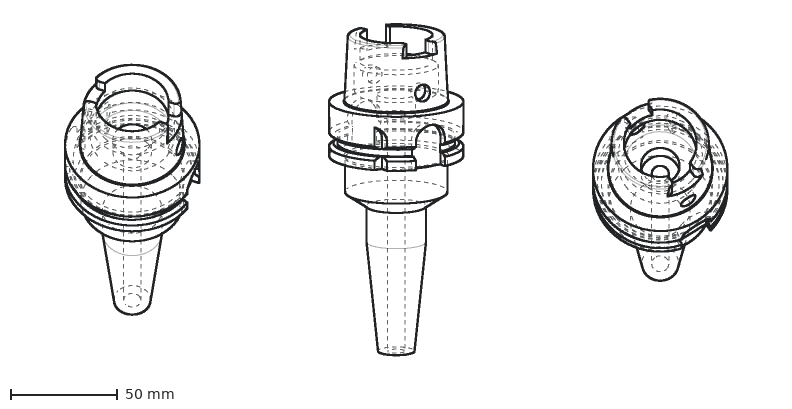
import cadquery as cq
import math


shank_length = 32.0
gauge_radius = 24.0
gauge_height = 6.3
taper_slope = 1 / 20
shank_bottom_radius = gauge_radius + gauge_height * taper_slope
shank_top_radius = shank_bottom_radius - shank_length * taper_slope
shank_rim_fillet = 1.0
shank_root_width = 0.3
shank_root_height = 0.5

flange_radius = 31.5
flange_thickness = 26.0
groove_radius = 27.6
groove_centre_depth = 18.13
groove_width = 3.6
groove_mouth_width = 6.8
groove_lip_radius = 29.4

body_radius = 24.0
body_root_width = 0.5
body_root_height = 1.0
body_end_depth = 43.5
neck_radius = 14.0
neck_start_depth = 50.3
nose_start_depth = 67.5
total_depth = 120.0
nose_end_radius = 8.6

mouth_radius = 17.0
mouth_end_height = 19.0
chamber_radius = 19.7
chamber_cone_angle = 30.0
chamber_cone_height = (chamber_radius - mouth_radius) * math.tan(math.radians(chamber_cone_angle))
chamber_floor_height = 3.5
chamber_floor_fillet = 2.5
pocket_radius = 9.0
pocket_depth = 10.0
through_hole_radius = 4.0
cross_hole_radius = 4.0
cross_hole_height = 8.8

drive_slot_width = 12.4
drive_slot_flat = 20.95
drive_slot_corner = 2.3
left_slot_depth = 6.0
right_slot_depth = 9.8

keyway_width = 16.0
keyway_floor = 26.5
keyway_top_depth = 5.0

notch_floor = 20.1
notch_top_depth = 4.9
notch_corner_radius = 7.0

clearance = 5.0


def turned_body():
    groove_top = -(groove_centre_depth - groove_width / 2)
    groove_bottom = -(groove_centre_depth + groove_width / 2)
    mouth_top = -(groove_centre_depth - groove_mouth_width / 2)
    mouth_bottom = -(groove_centre_depth + groove_mouth_width / 2)
    root_radius = shank_bottom_radius - shank_root_height * taper_slope
    outline = [
        (0, shank_length),
        (shank_top_radius, shank_length),
        (root_radius, shank_root_height),
        (shank_bottom_radius + shank_root_width, 0),
        (flange_radius, 0),
        (flange_radius, mouth_top),
        (groove_lip_radius, groove_top),
        (groove_radius, groove_top),
        (groove_radius, groove_bottom),
        (groove_lip_radius, groove_bottom),
        (flange_radius, mouth_bottom),
        (flange_radius, -flange_thickness),
        (body_radius + body_root_width, -flange_thickness),
        (body_radius, -flange_thickness - body_root_height),
        (body_radius, -body_end_depth),
        (neck_radius, -neck_start_depth),
        (neck_radius, -nose_start_depth),
        (nose_end_radius, -total_depth),
        (0, -total_depth),
    ]
    solid = cq.Workplane("XZ").polyline(outline).close().revolve(360, (0, 0), (0, 1))
    return solid.faces(">Z").edges().fillet(shank_rim_fillet)


def bores():
    pocket_floor = chamber_floor_height - pocket_depth
    arc_inset = chamber_floor_fillet * (1 - math.sin(math.radians(45)))
    profile = (
        cq.Workplane("XZ")
        .moveTo(0, shank_length)
        .lineTo(mouth_radius, shank_length)
        .lineTo(mouth_radius, mouth_end_height)
        .lineTo(chamber_radius, mouth_end_height - chamber_cone_height)
        .lineTo(chamber_radius, chamber_floor_height + chamber_floor_fillet)
        .threePointArc(
            (chamber_radius - arc_inset, chamber_floor_height + arc_inset),
            (chamber_radius - chamber_floor_fillet, chamber_floor_height),
        )
        .lineTo(pocket_radius, chamber_floor_height)
        .lineTo(pocket_radius, pocket_floor)
        .lineTo(through_hole_radius, pocket_floor)
        .lineTo(through_hole_radius, -total_depth)
        .lineTo(0, -total_depth)
        .close()
    )
    return profile.revolve(360, (0, 0), (0, 1))


def cross_hole():
    return (
        cq.Workplane("YZ")
        .center(0, cross_hole_height)
        .circle(cross_hole_radius)
        .extrude(flange_radius, both=True)
    )


def drive_slot(side, depth):
    """Rim slot on the +X (side = 1) or -X (side = -1) side, flaring to a flat through an arc."""
    half_width = drive_slot_width / 2
    arc_end = half_width + drive_slot_corner
    arc_start = drive_slot_flat - drive_slot_corner
    arc_inset = drive_slot_corner * math.sin(math.radians(45))
    mid_x = arc_start + arc_inset
    mid_y = arc_end - arc_inset
    half = (
        cq.Workplane("XY", origin=(0, 0, shank_length - depth))
        .moveTo(0, 0)
        .lineTo(0, half_width)
        .lineTo(side * arc_start, half_width)
        .threePointArc((side * mid_x, mid_y), (side * drive_slot_flat, arc_end))
        .lineTo(side * drive_slot_flat, flange_radius)
        .lineTo(side * flange_radius, flange_radius)
        .lineTo(side * flange_radius, 0)
        .close()
        .extrude(depth + clearance)
    )
    return half.union(half.mirror("XZ"))


def keyway(side):
    """Round-topped keyway, open at the flange underside, on the +X or -X side."""
    half_width = keyway_width / 2
    shoulder = -keyway_top_depth - half_width
    return (
        cq.Workplane("YZ", origin=(side * keyway_floor, 0, 0))
        .moveTo(-half_width, -flange_thickness - clearance)
        .lineTo(-half_width, shoulder)
        .threePointArc((0, -keyway_top_depth), (half_width, shoulder))
        .lineTo(half_width, -flange_thickness - clearance)
        .close()
        .extrude(side * (flange_radius - keyway_floor + clearance))
    )


def orientation_notch():
    notch_height = flange_thickness - notch_top_depth
    tool = cq.Workplane("XY").box(flange_radius, flange_radius, notch_height, centered=False)
    tool = tool.edges("|X and <Y and >Z").fillet(notch_corner_radius)
    return tool.translate((-notch_floor - flange_radius, notch_floor, -flange_thickness))


result = (
    turned_body()
    .cut(bores())
    .cut(cross_hole())
    .cut(drive_slot(-1, left_slot_depth))
    .cut(drive_slot(1, right_slot_depth))
    .cut(keyway(-1))
    .cut(keyway(1))
    .cut(orientation_notch())
)